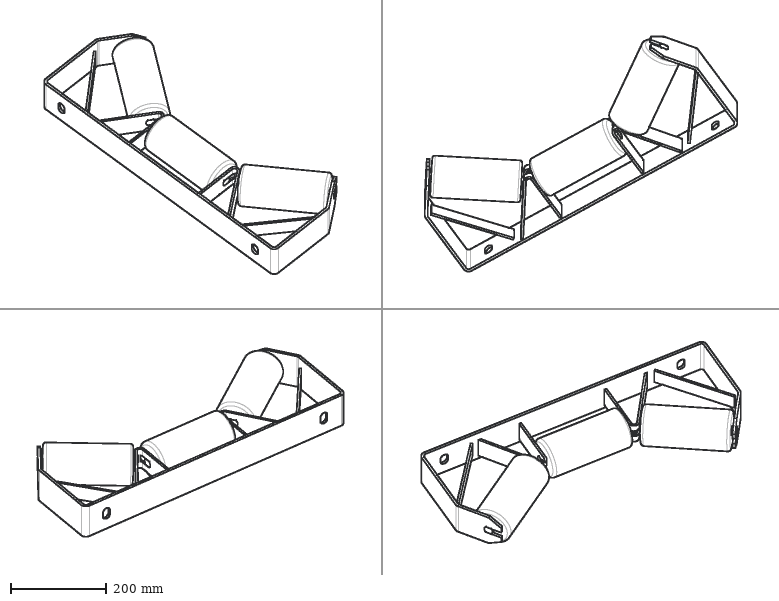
import cadquery as cq
import math

TROUGH_ANGLE = 35.0
ROLLER_TILT = 2.0

FRAME_WIDTH = 680.0
FRAME_HEIGHT = 80.0
FRAME_THICKNESS = 6.0
FRAME_BEND_RADIUS = 12.0
WALL_LENGTH = 165.5
WING_LENGTH = 105.0
WING_CHAMFER_ALONG = 29.0
WING_CHAMFER_ACROSS = 18.0
MOUNT_SLOT_WIDTH = 18.0
MOUNT_SLOT_LENGTH = 27.5
MOUNT_SLOT_SPACING = 566.0

ROLLER_DIAMETER = 89.0
ROLLER_LENGTH = 190.0
ROLLER_FILLET = 6.0
SHAFT_DIAMETER = 20.0
SHAFT_FLATS = 16.0
SHOULDER_LENGTH = 2.5
SUPPORT_GAP = 199.0
CENTRE_ROLLER_Y = 99.0
CENTRE_ROLLER_Z = 32.85
SIDE_ROLLER_Z = 36.25
SHAFT_TO_WING_TIP = 29.6

BRACKET_HEIGHT = 50.0
BRACKET_THICKNESS = 5.0
BRACKET_BEND_RADIUS = 11.0

STRUT_HEIGHT = 35.0
STRUT_THICKNESS = 5.0
STRUT_WALL_Y = 150.5
STRUT_BASE_X = -220.5

SLOT_REACH = 100.0
SLOT_OVERSHOOT = 2.0

SLOPE = math.radians(TROUGH_ANGLE)
TILT = math.radians(ROLLER_TILT)
UPWARD = cq.Vector(0, 0, 1)
ALONG_WING = cq.Vector(math.sin(SLOPE), math.cos(SLOPE))
ACROSS_WING = cq.Vector(math.cos(SLOPE), -math.sin(SLOPE))

wall_foot = cq.Vector(-FRAME_WIDTH / 2, 0)
wall_bend = wall_foot + cq.Vector(0, WALL_LENGTH)
wing_tip = wall_bend + ALONG_WING * WING_LENGTH

centre_place = cq.Plane(origin=(0, CENTRE_ROLLER_Y, CENTRE_ROLLER_Z))
wing_seat = wing_tip - ALONG_WING * SHAFT_TO_WING_TIP
side_middle = wing_seat + ACROSS_WING * (FRAME_THICKNESS + SUPPORT_GAP / 2)
side_axis = ACROSS_WING * math.cos(TILT) - UPWARD * math.sin(TILT)
side_place = cq.Plane(
    origin=(side_middle + UPWARD * SIDE_ROLLER_Z).toTuple(),
    xDir=side_axis,
    normal=side_axis.cross(ALONG_WING),
)


def mirrored(body):
    """The same body on the right side."""
    return body.mirror("YZ")


def placed(body, place):
    """Move a body from a roller's local frame to its place in the assembly."""
    return cq.Workplane(body.val().moved(place.location))


def bent_strip(points, thickness, height, bend_radius=0.0):
    """Extrude a strip lying left of a plan path; bend_radius is that of the face on the path."""
    headings = [(end - start).normalized() for start, end in zip(points, points[1:])]
    normals = [UPWARD.cross(heading) for heading in headings]
    inner = [points[0] + normals[0] * thickness]
    for corner, before, after in zip(points[1:], normals, normals[1:]):
        inner.append(corner + (before + after) * (thickness / (1 + before.dot(after))))
    inner.append(points[-1] + normals[-1] * thickness)

    outline = [(point.x, point.y) for point in points + inner[::-1]]
    strip = cq.Workplane().polyline(outline).close().extrude(height)
    for corners, radius in ((points, bend_radius), (inner, bend_radius - thickness)):
        for corner in corners[1:-1]:
            at_corner = cq.selectors.NearestToPointSelector((corner.x, corner.y, height / 2))
            strip = strip.edges("|Z").edges(at_corner).fillet(radius)
    return strip


def cylinder(diameter, start, length):
    return cq.Workplane("YZ", origin=(start, 0, 0)).circle(diameter / 2).extrude(length)


def flatted_shaft(start, length):
    flats = cq.Workplane("YZ", origin=(start, 0, 0)).rect(SHAFT_DIAMETER, SHAFT_FLATS).extrude(length)
    return cylinder(SHAFT_DIAMETER, start, length).intersect(flats)


def make_roller(place, left_seat, right_seat):
    """Roller whose flatted shaft ends pass through supports of the given thicknesses."""
    shoulder_x = ROLLER_LENGTH / 2 + SHOULDER_LENGTH
    shell = cylinder(ROLLER_DIAMETER, -ROLLER_LENGTH / 2, ROLLER_LENGTH)
    shell = shell.faces("<X or >X").edges().fillet(ROLLER_FILLET)
    shoulders = cylinder(SHAFT_DIAMETER, -shoulder_x, 2 * shoulder_x)
    shaft = flatted_shaft(-SUPPORT_GAP / 2 - left_seat, left_seat + SUPPORT_GAP + right_seat)
    return placed(shell.union(shoulders).union(shaft), place)


def shaft_slot(place, support_x, thickness):
    """Cutter for an open slot, fitting the shaft, through a support starting at local support_x."""
    start = support_x - SLOT_OVERSHOOT
    length = thickness + 2 * SLOT_OVERSHOOT
    mouth = (
        cq.Workplane("YZ", origin=(start, SLOT_REACH / 2, 0))
        .rect(SLOT_REACH, SHAFT_FLATS)
        .extrude(length)
    )
    return placed(flatted_shaft(start, length).union(mouth), place)


def mount_slots():
    half_spacing = MOUNT_SLOT_SPACING / 2
    return (
        cq.Workplane("XZ")
        .pushPoints([(x, FRAME_HEIGHT / 2) for x in (-half_spacing, half_spacing)])
        .slot2D(MOUNT_SLOT_LENGTH, MOUNT_SLOT_WIDTH, 90)
        .extrude(-FRAME_THICKNESS)
    )


def wing_corners():
    """Cutter for the two chamfered corners at the tip of the left wing."""
    wing_face = cq.Plane(origin=wing_tip.toTuple(), xDir=ALONG_WING, normal=ACROSS_WING * -1)
    corners = cq.Workplane(wing_face)
    for edge, inward in ((0, -1), (-FRAME_HEIGHT, 1)):
        triangle = [(0, edge), (-WING_CHAMFER_ALONG, edge), (0, edge + inward * WING_CHAMFER_ACROSS)]
        corners = corners.polyline(triangle).close()
    return corners.extrude(-FRAME_THICKNESS)


def make_frame():
    left = [wing_tip, wall_bend, wall_foot]
    right = [cq.Vector(-point.x, point.y) for point in reversed(left)]
    frame = bent_strip(left + right, FRAME_THICKNESS, FRAME_HEIGHT, FRAME_BEND_RADIUS)
    frame = frame.cut(mount_slots())
    wing_slot = shaft_slot(side_place, -SUPPORT_GAP / 2 - FRAME_THICKNESS, FRAME_THICKNESS)
    for cutter in (wing_corners(), wing_slot):
        frame = frame.cut(cutter).cut(mirrored(cutter))
    return frame


def make_bracket():
    upright_x = -SUPPORT_GAP / 2
    slant_point = wall_bend + ACROSS_WING * (FRAME_THICKNESS + SUPPORT_GAP)
    apex = slant_point + ALONG_WING * ((upright_x - slant_point.x) / ALONG_WING.x)
    upright_foot = cq.Vector(upright_x, 0)
    slant_foot = apex - ALONG_WING * (apex.y / ALONG_WING.y)
    path = [upright_foot, apex, slant_foot]
    bracket = bent_strip(path, BRACKET_THICKNESS, BRACKET_HEIGHT, BRACKET_BEND_RADIUS)
    base = cq.Workplane().rect(FRAME_WIDTH, 2 * FRAME_THICKNESS).extrude(BRACKET_HEIGHT)
    bracket = bracket.cut(base).translate((0, 0, CENTRE_ROLLER_Z - BRACKET_HEIGHT / 2))

    slant_slot = shaft_slot(side_place, SUPPORT_GAP / 2, BRACKET_THICKNESS)
    upright_slot = shaft_slot(centre_place, upright_x - BRACKET_THICKNESS, BRACKET_THICKNESS)
    return bracket.cut(slant_slot).cut(upright_slot)


def make_strut():
    wall_end = cq.Vector(-FRAME_WIDTH / 2 + FRAME_THICKNESS, STRUT_WALL_Y)
    base_end = cq.Vector(STRUT_BASE_X, FRAME_THICKNESS)
    strut = bent_strip([wall_end, base_end], STRUT_THICKNESS, STRUT_HEIGHT)
    return strut.translate((0, 0, (FRAME_HEIGHT - STRUT_HEIGHT) / 2))


frame = make_frame()
centre_roller = make_roller(centre_place, BRACKET_THICKNESS, BRACKET_THICKNESS)
left_bodies = [
    make_roller(side_place, FRAME_THICKNESS, BRACKET_THICKNESS),
    make_bracket(),
    make_strut(),
]

bodies = [frame, centre_roller]
for left_body in left_bodies:
    bodies += [left_body, mirrored(left_body)]

result = cq.Compound.makeCompound([solid for body in bodies for solid in body.solids().vals()])